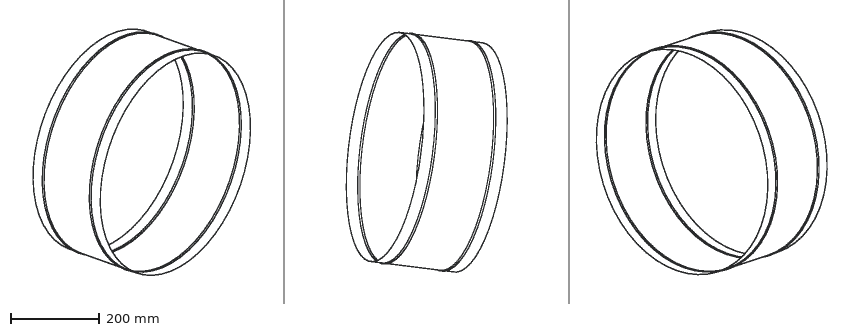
import cadquery as cq

length = 200.0
bead_diameter = 526.0
bead_height = 1.5
bead_width = 5.0
bead_inset = 30.0
wall = 1.0

half_length = length / 2
tube_radius = bead_diameter / 2 - bead_height
bead_centre = half_length - bead_inset


def beaded_cylinder(radius):
    """Solid cylinder about X with two rounded beads raised around it."""
    half_bead = bead_width / 2
    profile = cq.Workplane("XZ").moveTo(-half_length, 0).lineTo(-half_length, radius)
    for centre in (-bead_centre, bead_centre):
        profile = profile.lineTo(centre - half_bead, radius).threePointArc(
            (centre, radius + bead_height),
            (centre + half_bead, radius),
        )
    profile = profile.lineTo(half_length, radius).lineTo(half_length, 0).close()
    return profile.revolve(360, (0, 0, 0), (1, 0, 0))


result = beaded_cylinder(tube_radius).cut(beaded_cylinder(tube_radius - wall))